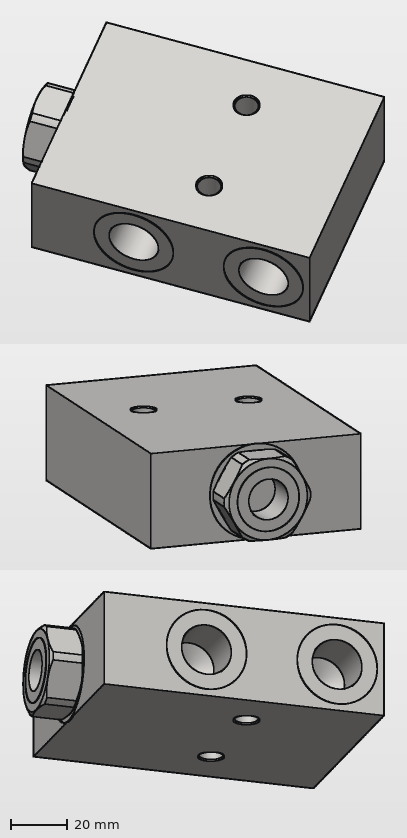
import cadquery as cq
import math

block_length = 105.0
block_width = 80.0
block_height = 35.0

plug_projection = 12.5
plug_seat_diameter = block_height
plug_seat_depth = 0.5
hex_sides = 6
hex_across_flats = 30.0
hex_corner_diameter = 33.0
hex_end_diameter = 29.8
hex_chamfer_length = 0.9
collar_diameter = 23.5
collar_projection = 0.25
plug_bore_diameter = 14.95

port_positions_x = (38.5, 87.5)
port_diameter = 18.63
port_depth = 20.0
port_tip_angle = 118.0
port_seat_diameter = 30.0
port_seat_depth = 0.3

mount_x = 60.0
mount_spacing = 40.0
mount_diameter = 8.5
mount_chamfer = 0.5


def make_block():
    return cq.Workplane("XY").box(block_length, block_width, block_height, centered=(False, True, True))


def cylinder_along_x(start, end, diameter):
    return cq.Workplane("YZ", origin=(start, 0, 0)).circle(diameter / 2).extrude(end - start)


def make_plug():
    """Hexagon with turned corners, chamfered at both ends, and a round collar on its outer face."""
    hex_start = collar_projection - plug_projection
    hex_end = plug_seat_depth
    hex_length = hex_end - hex_start
    across_corners = hex_across_flats / math.cos(math.pi / hex_sides)
    hexagon = cq.Workplane("YZ", origin=(hex_start, 0, 0)).polygon(hex_sides, across_corners).extrude(hex_length)
    chamfer_height = (hex_corner_diameter - hex_end_diameter) / 2
    envelope = cylinder_along_x(hex_start, hex_end, hex_corner_diameter)
    envelope = envelope.faces("<X or >X").edges().chamfer(hex_chamfer_length, chamfer_height)
    collar = cylinder_along_x(-plug_projection, 0, collar_diameter)
    return hexagon.intersect(envelope).union(collar)


def make_port(x):
    """Flat seat, drilled hole and conical drill tip, turned about the port axis."""
    radius = port_diameter / 2
    seat_radius = port_seat_diameter / 2
    tip_length = radius / math.tan(math.radians(port_tip_angle / 2))
    profile = [
        (0, 0),
        (seat_radius, 0),
        (seat_radius, port_seat_depth),
        (radius, port_seat_depth),
        (radius, port_depth),
        (0, port_depth + tip_length),
    ]
    port = cq.Workplane("XY").polyline(profile).close().revolve(360, (0, 0, 0), (0, 1, 0))
    return port.translate((x, -block_width / 2, 0))


def make_mount_hole(y):
    """Through hole chamfered at both ends."""
    radius = mount_diameter / 2
    hole = cq.Workplane("XY").circle(radius).extrude(block_height / 2, both=True)
    rim = cq.Workplane("XY", origin=(0, 0, block_height / 2)).circle(radius + mount_chamfer)
    countersink = rim.workplane(offset=-mount_chamfer).circle(radius).loft()
    hole = hole.union(countersink).union(countersink.mirror("XY"))
    return hole.translate((mount_x, y, 0))


result = make_block()
result = result.cut(cylinder_along_x(0, plug_seat_depth, plug_seat_diameter))
result = result.union(make_plug())
result = result.cut(cylinder_along_x(-plug_projection, plug_seat_depth, plug_bore_diameter))
for port_x in port_positions_x:
    result = result.cut(make_port(port_x))
for side in (-1, 1):
    result = result.cut(make_mount_hole(side * mount_spacing / 2))